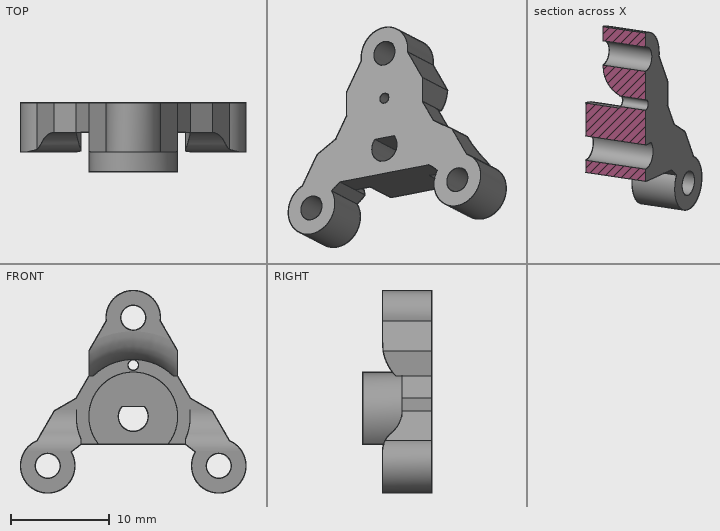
import cadquery as cq
import math


plate_thickness = 3.0
ear_thickness = 5.0
boss_height = 7.0

ear_pitch_radius = 10.0
ear_radius = 2.77
ear_hole_diameter = 2.5
arm_spacing = 120
upper_ear_angle = 90
ear_angles = [upper_ear_angle + arm * arm_spacing for arm in range(3)]
lower_right_angle = ear_angles[2]

side_direction = 30
side_distance = 7.22
notch_floor_distance = 5.95
notch_edge = 4.5
bottom_edge = -2.82
bottom_half_width = 5.27
bottom_corner_run = 1.0
bottom_corner_drop = 0.77

boss_radius = 4.5
bore_radius = 1.5
bore_flat_height = 1.0
pin_hole_diameter = 1.05
pin_hole_height = 5.2

blend_radius = 3.0
top_step_radius = 8.6
hub_clearance_radius = 5.77
ramp_start = 0.65
ramp_middle = -1.69

margin = 20.0


def line_height(distance, x):
    """Height at x of the right-hand side line lying this far from the axis."""
    normal_angle = math.radians(side_direction)
    return (distance - x * math.cos(normal_angle)) / math.sin(normal_angle)


def rotated(point, degrees):
    angle = math.radians(degrees)
    x, z = point
    return (
        x * math.cos(angle) - z * math.sin(angle),
        x * math.sin(angle) + z * math.cos(angle),
    )


def mirrored(point):
    return (-point[0], point[1])


def ear_center(degrees):
    return rotated((ear_pitch_radius, 0), degrees)


ear_centers = [ear_center(angle) for angle in ear_angles]
arm_shoulder = line_height(notch_floor_distance, notch_edge)


def outline_solid(depth):
    """Notched triangle with three round ears, extruded to the given depth."""
    notch_top = (notch_edge, line_height(side_distance, notch_edge))
    notch_inner = (notch_edge, arm_shoulder)
    lower_inner = rotated(mirrored(notch_inner), -arm_spacing)
    lower_outer = rotated(mirrored(notch_top), -arm_spacing)
    side_half_length = ear_pitch_radius * math.cos(math.radians(side_direction))
    upper_end = rotated((side_distance, side_half_length), side_direction)
    lower_end = rotated((side_distance, -side_half_length), side_direction)
    right_side = [
        upper_end,
        notch_top,
        notch_inner,
        lower_inner,
        lower_outer,
        lower_end,
        ear_center(lower_right_angle),
        (bottom_half_width + bottom_corner_run, bottom_edge - bottom_corner_drop),
        (bottom_half_width, bottom_edge),
    ]
    left_side = [mirrored(point) for point in reversed(right_side)]
    body = cq.Workplane("XZ").polyline(right_side + left_side).close().extrude(depth)
    ears = cq.Workplane("XZ").pushPoints(ear_centers).circle(ear_radius).extrude(depth)
    return body.union(ears)


def top_arm():
    """Raised upper arm, ending in a rounded nose swept around the bore axis."""
    region = (
        cq.Workplane("XZ")
        .center(0, arm_shoulder + margin / 2)
        .rect(2 * notch_edge, margin)
        .extrude(ear_thickness)
    )
    nose_center_y = -(ear_thickness - blend_radius)
    nose_inner = top_step_radius - blend_radius
    diagonal = blend_radius * math.sqrt(0.5)
    clearance = (
        cq.Workplane("XY")
        .moveTo(0, nose_center_y)
        .lineTo(nose_inner, nose_center_y)
        .threePointArc(
            (top_step_radius - diagonal, nose_center_y - diagonal),
            (top_step_radius, -ear_thickness),
        )
        .lineTo(0, -ear_thickness)
        .close()
        .revolve(360, (0, 0, 0), (0, 1, 0))
    )
    return outline_solid(ear_thickness).intersect(region).cut(clearance)


def lower_arms():
    """Raised lower arms: an S-shaped ramp along X, cleared around the hub."""
    ramp_angle = math.asin((ramp_start - ramp_middle) / blend_radius)
    ramp_rise = blend_radius * (1 - math.cos(ramp_angle))
    crest_rise = ear_thickness - plate_thickness - ramp_rise
    crest_radius = crest_rise / (1 - math.cos(ramp_angle))
    ramp_end = ramp_middle - crest_radius * math.sin(ramp_angle)
    half_angle = ramp_angle / 2
    hollow_mid = (
        -plate_thickness - blend_radius * (1 - math.cos(half_angle)),
        ramp_start - blend_radius * math.sin(half_angle),
    )
    crest_mid = (
        -ear_thickness + crest_radius * (1 - math.cos(half_angle)),
        ramp_end + crest_radius * math.sin(half_angle),
    )
    ramp = (
        cq.Workplane("YZ")
        .moveTo(0, ramp_start)
        .lineTo(-plate_thickness, ramp_start)
        .threePointArc(hollow_mid, (-plate_thickness - ramp_rise, ramp_middle))
        .threePointArc(crest_mid, (-ear_thickness, ramp_end))
        .lineTo(-ear_thickness, -margin)
        .lineTo(0, -margin)
        .close()
        .extrude(margin, both=True)
    )
    gap = cq.Workplane("XZ").rect(2 * bottom_half_width, 2 * margin).extrude(boss_height)
    hub_clearance = cq.Workplane("XZ").circle(hub_clearance_radius).extrude(boss_height)
    return outline_solid(ear_thickness).intersect(ramp).cut(gap).cut(hub_clearance)


def boss():
    """Round hub, cut flat along the bottom edge of the body."""
    flat = (
        cq.Workplane("XZ")
        .center(0, bottom_edge + margin / 2)
        .rect(margin, margin)
        .extrude(boss_height)
    )
    return cq.Workplane("XZ").circle(boss_radius).extrude(boss_height).intersect(flat)


def bore():
    """D-shaped shaft bore with its flat on the upper side."""
    below_flat = (
        cq.Workplane("XZ")
        .center(0, bore_flat_height - margin / 2)
        .rect(margin, margin)
        .extrude(boss_height)
    )
    return cq.Workplane("XZ").circle(bore_radius).extrude(boss_height).intersect(below_flat)


def round_holes():
    ear_holes = (
        cq.Workplane("XZ")
        .pushPoints(ear_centers)
        .circle(ear_hole_diameter / 2)
        .extrude(boss_height)
    )
    pin_hole = (
        cq.Workplane("XZ")
        .center(0, pin_hole_height)
        .circle(pin_hole_diameter / 2)
        .extrude(boss_height)
    )
    return ear_holes.union(pin_hole)


result = (
    outline_solid(plate_thickness)
    .union(top_arm())
    .union(lower_arms())
    .union(boss())
    .cut(bore())
    .cut(round_holes())
)